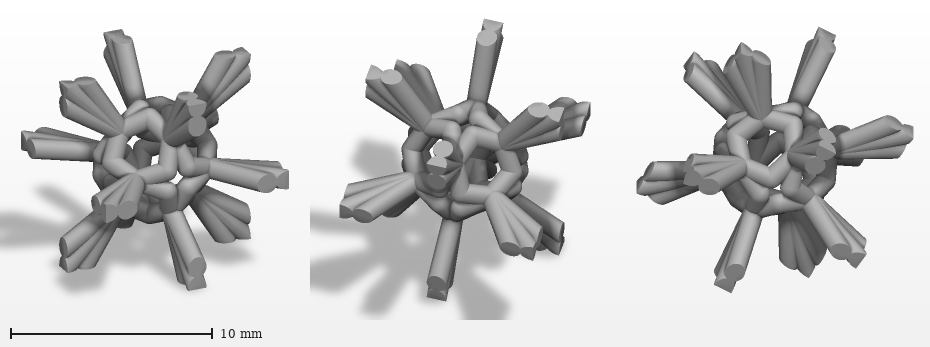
import cadquery as cq

CELL_SIZE = 10.0
STRUT_DIAMETER = 1.0

HUB_OFFSET = 1.92
ELBOW_SIDE_OFFSET = 0.55
ELBOW_AXIS_OFFSET = 2.6
SIDE_SPOKE_OFFSET = 3.86

HALF_CELL = CELL_SIZE / 2
STRUT_RADIUS = STRUT_DIAMETER / 2
SIGNS = (-1, 1)


def point_on_axes(axes, values):
    """Return the point with the given values along the given axes and zero elsewhere."""
    coordinates = [0.0, 0.0, 0.0]
    for axis, value in zip(axes, values):
        coordinates[axis] = value
    return cq.Vector(*coordinates)


def strut(start, end):
    """Round bar between two points."""
    direction = end - start
    return cq.Solid.makeCylinder(STRUT_RADIUS, direction.Length, start, direction)


def ball(centre):
    """Ball that rounds off the joint between struts."""
    return cq.Solid.makeSphere(STRUT_RADIUS, centre, angleDegrees1=-90, angleDegrees2=90)


def elbow_joints():
    """Elbow balls, each with its two struts to the neighbouring hubs."""
    parts = []
    for axis in range(3):
        side_a, side_b = (axis + 1) % 3, (axis + 2) % 3
        for sign in SIGNS:
            for sign_a in SIGNS:
                for sign_b in SIGNS:
                    elbow = point_on_axes(
                        (axis, side_a, side_b),
                        (sign * ELBOW_AXIS_OFFSET, sign_a * ELBOW_SIDE_OFFSET, sign_b * ELBOW_SIDE_OFFSET),
                    )
                    parts.append(ball(elbow))
                    for side, side_sign in ((side_a, sign_a), (side_b, sign_b)):
                        hub = point_on_axes((axis, side), (sign * HUB_OFFSET, side_sign * HUB_OFFSET))
                        parts.append(strut(elbow, hub))
    return parts


def spoke_fans():
    """Hub balls, each with three ball-ended spokes fanning out to the cell walls and edge."""
    spoke_ends = (
        (HALF_CELL, SIDE_SPOKE_OFFSET),
        (HALF_CELL, HALF_CELL),
        (SIDE_SPOKE_OFFSET, HALF_CELL),
    )
    parts = []
    for axes in ((0, 1), (1, 2), (2, 0)):
        for sign_a in SIGNS:
            for sign_b in SIGNS:
                hub = point_on_axes(axes, (sign_a * HUB_OFFSET, sign_b * HUB_OFFSET))
                parts.append(ball(hub))
                for reach_a, reach_b in spoke_ends:
                    spoke_end = point_on_axes(axes, (sign_a * reach_a, sign_b * reach_b))
                    parts.append(strut(hub, spoke_end))
                    parts.append(ball(spoke_end))
    return parts


members = elbow_joints() + spoke_fans()
lattice = members[0].fuse(*members[1:])
cell = cq.Workplane("XY").box(CELL_SIZE, CELL_SIZE, CELL_SIZE)
result = cell.intersect(cq.Workplane(obj=lattice))